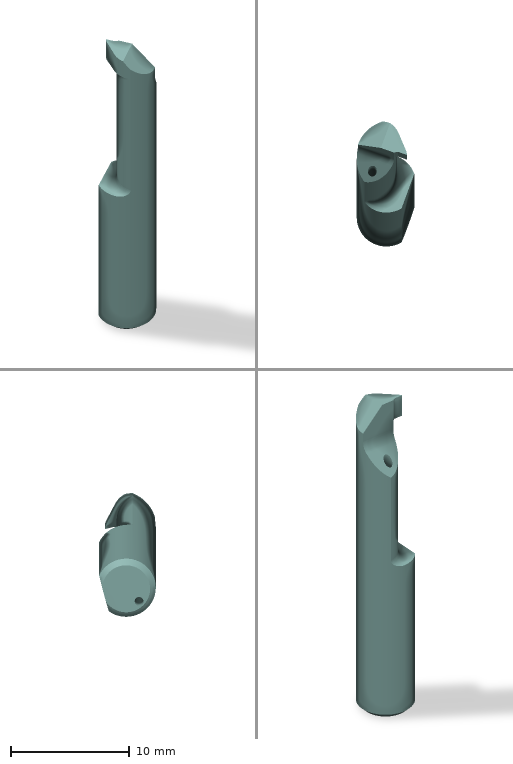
import cadquery as cq
import math

length = 30.0
shank_radius = 2.505
flat_x = -1.935
shank_length = 15.0
end_chamfer = 0.48

neck_radius = 2.25
neck_x = 1.5
cove_radius = 0.78

tip_x = -1.845
head_height = 2.05
head_bottom = length - head_height
rake_y = -0.05
groove_start_x = -1.02
groove_end_x = -0.72
nose_heel = (-1.68, -0.33)
flank_end = (-0.55, -1.6)
top_relief = 3.0
bottom_relief = 4.0
top_bevel_start_x = 0.45

face_y = 0.12
ramp_angle = 40.0
ramp_bottom = 24.05
ramp_blend_radius = 1.5

hole_x = 0.78
hole_y = 1.32
hole_diameter = 0.75

margin = 6.0

seam_x = (shank_radius**2 - neck_radius**2 + neck_x**2) / (2 * neck_x)
seam_y = math.sqrt(shank_radius**2 - seam_x**2)


def make_bar():
    """Full-length chamfered bar, without the flat."""
    bar = cq.Workplane("XY").circle(shank_radius).extrude(length)
    return bar.faces("<Z").chamfer(end_chamfer)


def make_neck_envelope():
    """Lower block, cove and neck, revolved about the neck axis."""
    block_radius = neck_radius + margin
    cove_top = shank_length + cove_radius
    cove_outer = neck_radius + cove_radius
    cove_mid_offset = cove_radius * (1 - math.sqrt(0.5))
    profile = (
        cq.Workplane("XZ")
        .lineTo(block_radius, 0)
        .lineTo(block_radius, shank_length)
        .lineTo(cove_outer, shank_length)
        .threePointArc(
            (neck_radius + cove_mid_offset, shank_length + cove_mid_offset),
            (neck_radius, cove_top),
        )
        .lineTo(neck_radius, length)
        .lineTo(0, length)
        .close()
    )
    return profile.revolve(360, (0, 0), (0, 1)).translate((neck_x, 0, 0))


def make_flat_cutter():
    cutter = cq.Workplane("XY").box(margin, 2 * margin, length, centered=(True, True, False))
    return cutter.translate((flat_x - margin / 2, 0, 0))


def make_head():
    """Overhanging head with its groove, flank and relieved underside."""
    head = (
        cq.Workplane("XY")
        .workplane(offset=head_bottom)
        .moveTo(tip_x, rake_y)
        .lineTo(*nose_heel)
        .lineTo(*flank_end)
        .tangentArcPoint((seam_x, -seam_y), relative=False)
        .lineTo(seam_x, face_y)
        .lineTo(groove_end_x, face_y)
        .lineTo(groove_start_x, rake_y)
        .close()
        .extrude(head_height)
    )
    underside = (
        cq.Workplane("XY")
        .box(4 * margin, 4 * margin, margin)
        .translate((0, 0, -margin / 2))
        .rotate((0, 0, 0), (1, 0, 0), -bottom_relief)
        .translate((0, rake_y, head_bottom))
    )
    return head.cut(underside)


def make_ramp_cutter():
    """Removes the +Y half beside the head, ending in a blended ramp."""
    outer_y = shank_radius + margin
    slope = 1 / math.tan(math.radians(ramp_angle))
    corner_z = ramp_bottom + (seam_y - face_y) * slope
    outer_z = corner_z - (outer_y - face_y) * slope
    blend = ramp_blend_radius * math.tan(math.radians(ramp_angle / 2))
    ramp_y = face_y + blend * math.sin(math.radians(ramp_angle))
    ramp_z = corner_z - blend * math.cos(math.radians(ramp_angle))
    return (
        cq.Workplane("YZ")
        .moveTo(face_y, length + margin)
        .lineTo(face_y, corner_z + blend)
        .tangentArcPoint((ramp_y, ramp_z), relative=False)
        .lineTo(outer_y, outer_z)
        .lineTo(outer_y, length + margin)
        .close()
        .extrude(margin, both=True)
    )


def make_top_cutter():
    """Clears the relieved top and its 45 degree bevel on the +X side."""
    return (
        cq.Workplane("XZ")
        .moveTo(-margin, 0)
        .lineTo(top_bevel_start_x, 0)
        .lineTo(top_bevel_start_x + margin, -margin)
        .lineTo(top_bevel_start_x + margin, margin)
        .lineTo(-margin, margin)
        .close()
        .extrude(margin, both=True)
        .rotate((0, 0, 0), (1, 0, 0), top_relief)
        .translate((0, face_y, length))
    )


def make_coolant_hole():
    return cq.Workplane("XY").center(hole_x, hole_y).circle(hole_diameter / 2).extrude(length)


body = make_bar().intersect(make_neck_envelope()).cut(make_flat_cutter())
body = body.cut(make_ramp_cutter()).union(make_head())
result = body.cut(make_top_cutter()).cut(make_coolant_hole())